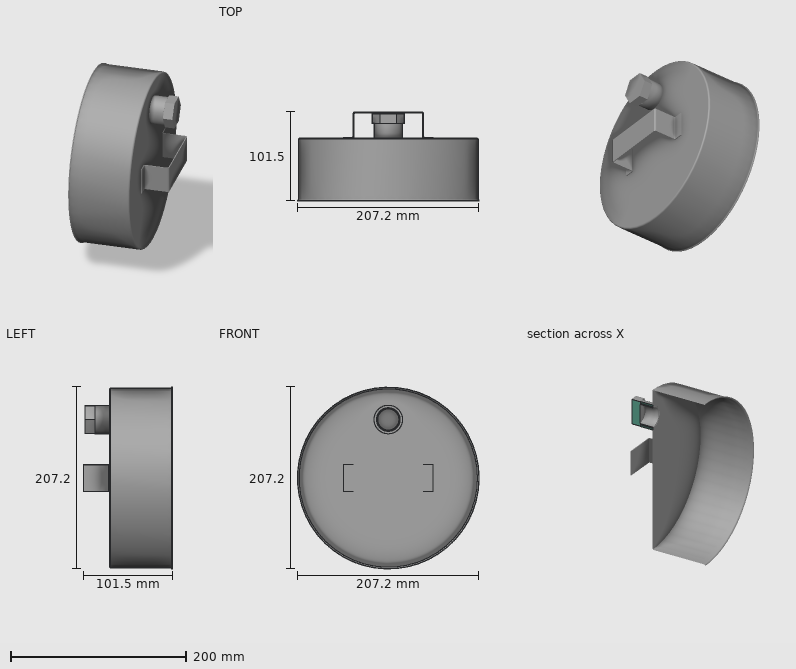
import cadquery as cq
import math

rim_diameter = 207.2
pan_diameter = 205.1
pan_depth = 71.7
sheet = 0.93
back_edge_radius = 1.9
pan_radius = pan_diameter / 2
lip_outer_bend = (rim_diameter - pan_diameter) / 2
lip_inner_bend = lip_outer_bend + sheet

overall_depth = 101.5
bracket_width = 30.9
bracket_span = 80.0
feet_span = 102.4
strip = 1.0
bend_inside = 1.0
bend_outside = bend_inside + strip

connector_z = 66.7
sleeve_diameter = 32.5
sleeve_length = 16.8
passage_diameter = 27.0
stud_diameter = 26.3
bore_diameter = 24.0
hex_across_flats = 32.0
hex_length = 11.2
hex_across_corners = hex_across_flats * 2 / math.sqrt(3)


def cylinder(diameter, start_y, length):
    """Cylinder along +Y on the connector axis."""
    plane = cq.Plane(origin=(0, start_y, connector_z), xDir=(1, 0, 0), normal=(0, 1, 0))
    return cq.Workplane(plane).circle(diameter / 2).extrude(length)


def make_pan():
    """Revolved sheet pan with a flared lip and a passage through its back."""
    inner_radius = pan_radius - sheet
    rim_radius = rim_diameter / 2
    profile = (
        cq.Workplane("XY")
        .moveTo(0, pan_depth)
        .lineTo(pan_radius - back_edge_radius, pan_depth)
        .radiusArc((pan_radius, pan_depth - back_edge_radius), back_edge_radius)
        .lineTo(pan_radius, lip_inner_bend)
        .radiusArc((rim_radius, sheet), -lip_outer_bend)
        .lineTo(rim_radius, 0)
        .radiusArc((inner_radius, lip_inner_bend), lip_inner_bend)
        .lineTo(inner_radius, pan_depth - sheet)
        .lineTo(0, pan_depth - sheet)
        .close()
    )
    pan = profile.revolve(360, (0, 0, 0), (0, 1, 0))
    return pan.cut(cylinder(passage_diameter, pan_depth - 2 * sheet, 3 * sheet))


def make_bracket():
    """Hat-shaped strip: two feet, two legs and a bridge, with rounded bends."""
    leg_outside = bracket_span / 2
    leg_inside = leg_outside - strip
    foot_end = feet_span / 2
    foot_top = pan_depth + strip
    half_outline = [
        (0, overall_depth),
        (leg_outside, overall_depth),
        (leg_outside, foot_top),
        (foot_end, foot_top),
        (foot_end, pan_depth),
        (leg_inside, pan_depth),
        (leg_inside, overall_depth - strip),
        (0, overall_depth - strip),
    ]
    half = (
        cq.Workplane("XY")
        .polyline(half_outline)
        .close()
        .extrude(bracket_width / 2, both=True)
    )

    def round_bend(body, x, y, radius):
        corner = cq.selectors.NearestToPointSelector((x, y, 0))
        return body.edges("|Z").edges(corner).fillet(radius)

    half = round_bend(half, leg_outside, overall_depth, bend_outside)
    half = round_bend(half, leg_inside, overall_depth - strip, bend_inside)
    half = round_bend(half, leg_outside, foot_top, bend_inside)
    half = round_bend(half, leg_inside, pan_depth, bend_outside)
    return half.union(half.mirror("YZ")).clean()


def make_sleeve():
    """Plain tube standing on the back of the pan."""
    sleeve = cylinder(sleeve_diameter, pan_depth, sleeve_length)
    return sleeve.cut(cylinder(stud_diameter, pan_depth, sleeve_length))


def make_plug():
    """Hexagonal head on a hollow stud that fills the sleeve and reaches the inside of the pan."""
    head_y = pan_depth + sleeve_length
    head_plane = cq.Plane(origin=(0, head_y, connector_z), xDir=(1, 0, 0), normal=(0, 1, 0))
    head = cq.Workplane(head_plane).polygon(6, hex_across_corners).extrude(hex_length)
    stud_y = pan_depth - sheet
    stud = cylinder(stud_diameter, stud_y, head_y - stud_y)
    bore = cylinder(bore_diameter, stud_y, head_y - stud_y)
    return head.union(stud).cut(bore)


pan = make_pan()
bracket = make_bracket()
sleeve = make_sleeve()
plug = make_plug()

result = cq.Compound.makeCompound([pan.val(), bracket.val(), sleeve.val(), plug.val()])